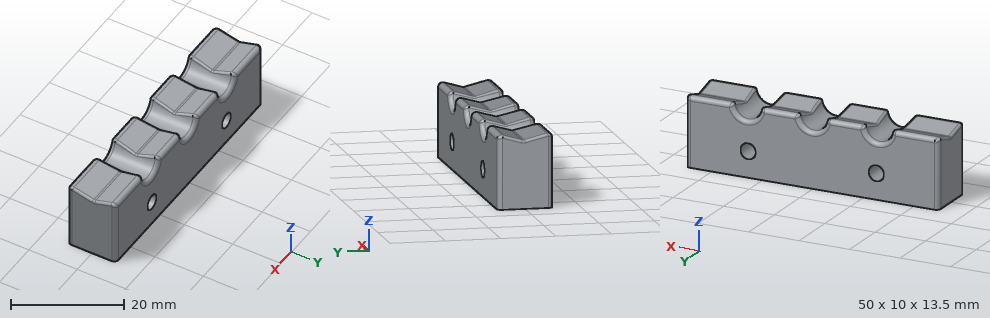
import cadquery as cq
import math

length = 50.0
width = 10.0
height = 13.5

side_radius = 0.85
valley_radius = 0.75
top_end_radius = 0.5

valley_offset = 0.35
front_slope = math.radians(14)
edge_height = height + side_radius * (math.tan(math.pi / 4 + front_slope / 2) - 1)
valley_height = edge_height - (width / 2 + valley_offset) * math.tan(front_slope)

groove_diameter = 5.5
groove_pitch = 13.0
groove_axis_height = 13.55
groove_positions = [-groove_pitch, 0, groove_pitch]

hole_diameter = 3.0
hole_spacing = 25.4
hole_height = 5.0
hole_positions = [-hole_spacing / 2, hole_spacing / 2]

sort_decimals = 3


def make_block():
    """Bar with a V-shaped top, extruded along X."""
    profile = [
        (-width / 2, 0),
        (width / 2, 0),
        (width / 2, edge_height),
        (valley_offset, valley_height),
        (-width / 2, edge_height),
    ]
    return cq.Workplane("YZ").polyline(profile).close().extrude(length / 2, both=True)


def cross_cylinders(x_positions, diameter, axis_height):
    """Cylinders running right through the bar along Y."""
    centers = [(x, axis_height) for x in x_positions]
    return cq.Workplane("XZ").pushPoints(centers).circle(diameter / 2).extrude(width, both=True)


def top_band(half_width):
    """Selector for edges centered near the V-shaped top, within half_width of the middle."""
    low_corner = (-length, -half_width, valley_height - side_radius)
    high_corner = (length, half_width, height + side_radius)
    return cq.selectors.BoxSelector(low_corner, high_corner)


def edge_place(edge):
    """Center of an edge, rounded so that edges sort by X, then Y, then Z."""
    return tuple(round(value, sort_decimals) for value in edge.Center().toTuple())


def round_valley(body):
    """Round the bottom line of the V-shaped top."""
    return body.edges("|X").edges(top_band(side_radius)).fillet(valley_radius)


def round_top_ends(body):
    """Round the V-shaped top where it meets the end faces and the grooves."""
    return body.edges("not |X").edges(top_band(width / 2 - side_radius)).fillet(top_end_radius)


def round_sides(body):
    """Round the upright corners, the long top edges and the groove mouths together."""
    uprights = body.edges("|Z").vals()
    rims = body.faces("<Y or >Y").edges("not(<Z or |Z)").vals()
    return body.newObject(sorted(uprights + rims, key=edge_place)).fillet(side_radius)


body = make_block()
body = body.cut(cross_cylinders(groove_positions, groove_diameter, groove_axis_height))
body = round_valley(body)
body = round_top_ends(body)
body = round_sides(body)
result = body.cut(cross_cylinders(hole_positions, hole_diameter, hole_height))